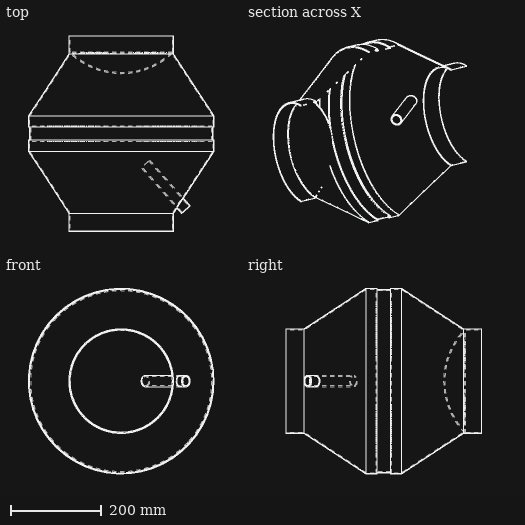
import cadquery as cq
import math

wall = 2.5

spigot_outer_radius = 230 / 2
spigot_bore_radius = spigot_outer_radius - wall
shell_outer_radius = 408 / 2
shell_inner_radius = shell_outer_radius - wall
ring_outer_radius = shell_inner_radius
ring_inner_radius = ring_outer_radius - wall

housing_half_length = 430 / 2
spigot_length = 40
cone_end = housing_half_length - spigot_length
band_outer_end = 39
band_inner_end = 14.5
ring_half_length = band_inner_end + wall

dome_front_radius = 164
dome_thickness = wall
dome_edge_depth = wall / 2
dome_edge_y = cone_end + wall

tube_outer_radius = 25 / 2
tube_bore_radius = 20 / 2
tube_length = 134
tube_angle = 41.5
tube_end_x = 142.2
tube_end_y = -167


def revolve_about_duct_axis(profile):
    return profile.close().revolve(360, (0, 0, 0), (0, 1, 0))


def half_shell(side):
    """Spigot, cone and band of one half; side is -1 for the front, +1 for the rear."""
    return revolve_about_duct_axis(
        cq.Workplane("XY")
        .moveTo(spigot_outer_radius, side * housing_half_length)
        .lineTo(spigot_outer_radius, side * cone_end)
        .lineTo(shell_outer_radius, side * band_outer_end)
        .lineTo(shell_outer_radius, side * band_inner_end)
        .lineTo(shell_inner_radius, side * band_inner_end)
        .lineTo(shell_inner_radius, side * band_outer_end)
        .lineTo(spigot_bore_radius, side * cone_end)
        .lineTo(spigot_bore_radius, side * housing_half_length)
    )


def middle_ring():
    """Ring sleeved inside both bands, joining the two halves."""
    return (
        cq.Workplane("XZ", origin=(0, -ring_half_length, 0))
        .circle(ring_outer_radius)
        .circle(ring_inner_radius)
        .extrude(-2 * ring_half_length)
    )


def dome():
    """Spherical shell with its edge let into the rear spigot wall, just behind the cone."""
    edge_radius = spigot_bore_radius + dome_edge_depth
    half_angle = math.asin(edge_radius / dome_front_radius)
    back_radius = dome_front_radius - dome_thickness
    centre_y = dome_edge_y + dome_front_radius * math.cos(half_angle)

    def on_arc(radius, angle):
        return (radius * math.sin(angle), centre_y - radius * math.cos(angle))

    return revolve_about_duct_axis(
        cq.Workplane("XY")
        .moveTo(*on_arc(dome_front_radius, 0))
        .threePointArc(on_arc(dome_front_radius, half_angle / 2), on_arc(dome_front_radius, half_angle))
        .lineTo(*on_arc(back_radius, half_angle))
        .threePointArc(on_arc(back_radius, half_angle / 2), on_arc(back_radius, 0))
    )


def tube_rod(radius):
    """Cylinder along the tube axis, from the outer end inward."""
    angle = math.radians(tube_angle)
    inward = cq.Vector(-math.sin(angle), math.cos(angle), 0)
    outer_end = cq.Vector(tube_end_x, tube_end_y, 0)
    return cq.Workplane(cq.Solid.makeCylinder(radius, tube_length, outer_end, inward))


housing = half_shell(-1).union(half_shell(1)).union(middle_ring()).union(dome())
result = housing.union(tube_rod(tube_outer_radius)).cut(tube_rod(tube_bore_radius))